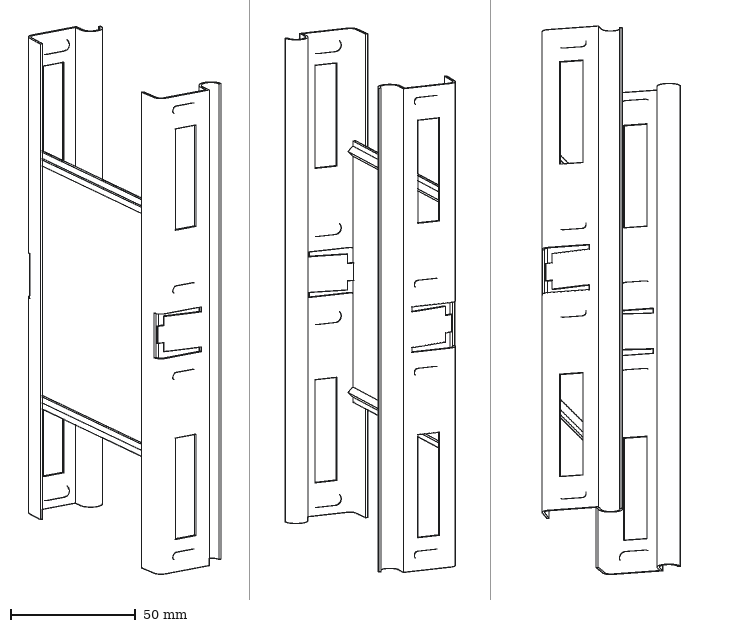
import cadquery as cq
import math

width = 100.0
length = 200.0
height = 33.2
sheet = 1.0

flange_width = 12.0
flange_tilt = math.radians(3.0)
bend_radius = 3.5
inner_bend_radius = bend_radius - sheet
flange_bend_x = bend_radius * (1 - math.sin(flange_tilt))
flange_bend_y = (flange_width - flange_bend_x) * math.tan(flange_tilt)
bend_center_y = flange_bend_y + bend_radius * math.cos(flange_tilt)
curl_radius = 4.8
curl_center_x = 4.8
curl_inner_radius = curl_radius - sheet
curl_center_y = height - curl_radius
wall_height = curl_center_y - curl_inner_radius

opening_width = 9.5
opening_length = 42.5
opening_y = 13.5
opening_z = 65.0

dimple_half_width = 3.0
dimple_straight = 8.0
dimple_depth = 2.5
dimple_floor_half_width = 0.2
dimple_y = 13.5
dimple_inner_z = 18.2
dimple_outer_z = 93.8

window_length = 18.8
window_top = 20.8
tongue_length = 14.8
tongue_shoulder_y = 4.5
tongue_tip_y = 1.8
neck_length = 7.2
hinge_y = 19.0
tongue_angle = 10.0
tongue_dimple_y = hinge_y - dimple_straight / 2
tongue_dimple_depth = 1.5

plate_length = 108.0
plate_sheet = 1.2
plate_gap = bend_radius - inner_bend_radius * math.sin(flange_tilt)
plate_y = bend_center_y - inner_bend_radius * math.cos(flange_tilt)
notch_depth = 0.8
bead_z = 49.8
bead_depth = 1.5


def dimple_form(depth, depth_offset):
    """Slot-shaped form pressed along +X, centred on the origin.

    An offset of zero gives the hollow, an offset of one sheet gives the raised side.
    Either form reaches half a sheet thickness back from its rim.
    """
    half_step = (dimple_half_width - dimple_floor_half_width) / 2
    half_depth = depth / 2
    flank_radius = (half_step**2 + half_depth**2) / (2 * half_depth)
    flank_angle = math.asin(half_step / flank_radius)
    rim_radius = flank_radius - depth_offset
    crown_radius = flank_radius + depth_offset
    crown_depth = depth - flank_radius

    def rim_point(angle):
        return (
            flank_radius - rim_radius * math.cos(angle),
            dimple_half_width - rim_radius * math.sin(angle),
        )

    def crown_point(angle):
        return (
            crown_depth + crown_radius * math.cos(angle),
            dimple_floor_half_width + crown_radius * math.sin(angle),
        )

    def half_section():
        base_depth = depth_offset - sheet / 2
        return (
            cq.Workplane("XY")
            .moveTo(base_depth, 0)
            .lineTo(base_depth, dimple_half_width)
            .lineTo(*rim_point(0))
            .threePointArc(rim_point(flank_angle / 2), rim_point(flank_angle))
            .threePointArc(crown_point(flank_angle / 2), crown_point(0))
            .lineTo(depth + depth_offset, 0)
            .close()
        )

    half_offset = dimple_straight / 2
    end = half_section().revolve(360, (0, 0, 0), (1, 0, 0))
    half_side = (
        half_section()
        .extrude(dimple_straight)
        .rotate((0, 0, 0), (1, 0, 0), 90)
        .translate((0, half_offset, 0))
    )
    return (
        half_side.union(half_side.mirror("XY"))
        .union(end.translate((0, half_offset, 0)))
        .union(end.translate((0, -half_offset, 0)))
    )


dimple_hollow = dimple_form(dimple_depth, 0)
dimple_raised = dimple_form(dimple_depth, sheet)


def press_dimple(panel, y, z):
    """Press one dimple into a sheet whose outer face lies on X = 0."""
    return panel.union(dimple_raised.translate((0, y, z))).cut(dimple_hollow.translate((0, y, z)))


def rail_section():
    """Folded strip: tilted flange, rounded bend, wall, lip and half-round curl."""
    bend_sweep = math.pi / 2 - flange_tilt

    def bend_point(radius, angle):
        return (
            bend_radius - radius * math.cos(angle),
            bend_center_y - radius * math.sin(angle),
        )

    tip_inner = (
        flange_width + sheet * math.sin(flange_tilt),
        sheet * math.cos(flange_tilt),
    )
    return (
        cq.Workplane("XY")
        .moveTo(flange_width, 0)
        .lineTo(*bend_point(bend_radius, bend_sweep))
        .threePointArc(bend_point(bend_radius, bend_sweep / 2), bend_point(bend_radius, 0))
        .lineTo(0, wall_height)
        .lineTo(curl_center_x, wall_height)
        .threePointArc(
            (curl_center_x + curl_inner_radius, curl_center_y), (curl_center_x, height - sheet)
        )
        .lineTo(curl_center_x, height)
        .threePointArc(
            (curl_center_x + curl_radius, curl_center_y), (curl_center_x, wall_height - sheet)
        )
        .lineTo(sheet, wall_height - sheet)
        .lineTo(*bend_point(inner_bend_radius, 0))
        .threePointArc(
            bend_point(inner_bend_radius, bend_sweep / 2), bend_point(inner_bend_radius, bend_sweep)
        )
        .lineTo(*tip_inner)
        .close()
    )


def wall_block(depth, y_low, y_high, z_length, z_center=0):
    """Box that starts on the outer face of the rail wall."""
    return (
        cq.Workplane("XY")
        .box(depth, y_high - y_low, z_length, centered=(False, False, True))
        .translate((0, y_low, z_center))
    )


def bend_at_hinge(form):
    """Turn the part of a form below the hinge line inward, and keep the part above it."""
    reach = 2 * height
    above = cq.Workplane("XY").box(reach, reach, reach).translate((0, hinge_y + reach / 2, 0))
    lower = form.cut(above).rotate((0, hinge_y, 0), (0, hinge_y, 1), tongue_angle)
    return form.intersect(above).union(lower)


def add_tongue(body):
    """Add the shouldered tab and press its dimple, which starts just above the hinge line."""
    dimple_place = (0, tongue_dimple_y, 0)
    raised = dimple_form(tongue_dimple_depth, sheet).translate(dimple_place)
    hollow = dimple_form(tongue_dimple_depth, 0).translate(dimple_place)
    tab = wall_block(sheet, tongue_shoulder_y, window_top, tongue_length)
    neck = wall_block(sheet, tongue_tip_y, tongue_shoulder_y, neck_length)
    bent_tongue = bend_at_hinge(tab.union(neck).union(raised))
    return body.union(bent_tongue).cut(bend_at_hinge(hollow))


def rail():
    """Left rail with its outer wall face on X = 0."""
    body = rail_section().extrude(length).translate((0, 0, -length / 2))
    for side in (-1, 1):
        body = body.cut(
            wall_block(
                sheet,
                opening_y - opening_width / 2,
                opening_y + opening_width / 2,
                opening_length,
                side * opening_z,
            )
        )
        for z in (dimple_inner_z, dimple_outer_z):
            body = press_dimple(body, dimple_y, side * z)

    body = body.cut(wall_block(flange_bend_x, 0, window_top, window_length))
    return add_tongue(body)


def bead_prism(depth, plate_width):
    """Right-angled V prism along X with its open side on Y = 0 and its crest at Y = depth."""
    return (
        cq.Workplane("YZ")
        .moveTo(0, -depth)
        .lineTo(depth, 0)
        .lineTo(0, depth)
        .close()
        .extrude(plate_width / 2, both=True)
    )


def web_plate():
    """Flat plate resting on both flanges, with a V-shaped bead near each end."""
    plate_width = width - 2 * plate_gap
    plate = (
        cq.Workplane("XY")
        .box(plate_width, plate_sheet, plate_length, centered=(True, False, True))
        .translate((0, plate_y, 0))
    )
    groove = bead_prism(bead_depth, plate_width)
    ridge = bead_prism(bead_depth + plate_sheet * math.sqrt(2), plate_width)
    for side in (-1, 1):
        bead_place = (0, plate_y, side * bead_z)
        plate = plate.union(ridge.translate(bead_place)).cut(groove.translate(bead_place))

    notch = cq.Workplane("XY").box(2 * notch_depth, height, neck_length)
    for side in (-1, 1):
        plate = plate.cut(notch.translate((side * plate_width / 2, 0, 0)))
    return plate


left_rail = rail().translate((-width / 2, 0, 0))
right_rail = left_rail.mirror("YZ")
plate = web_plate()

result = cq.Compound.makeCompound([left_rail.val(), right_rail.val(), plate.val()])